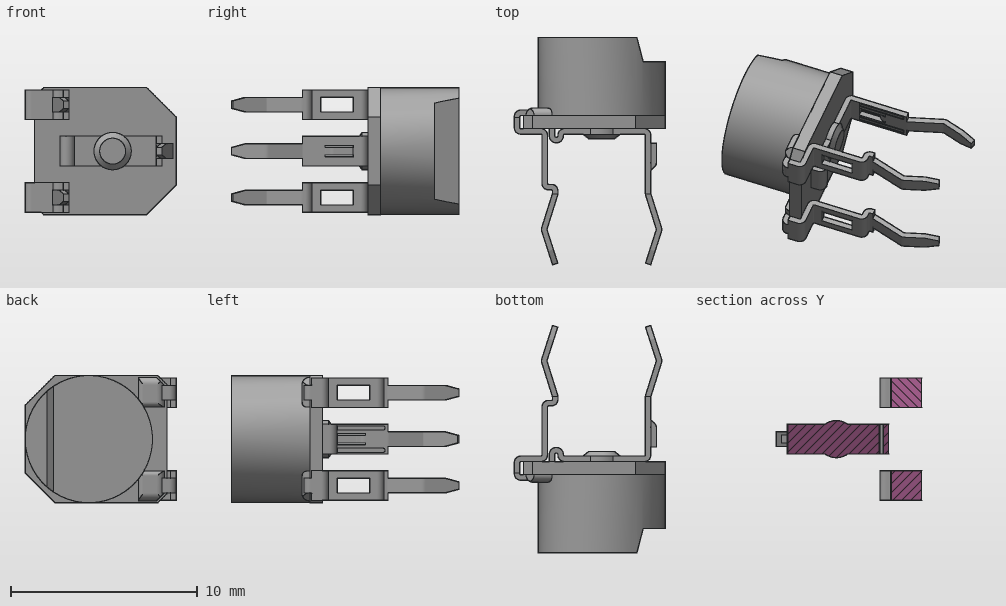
import cadquery as cq
import math

drum_diameter = 6.81
drum_height = 4.19
plate_thickness = 0.7
plate_left = 4.19
small_chamfer = 0.5
large_chamfer = 1.58

step_height = 3.58
step_top_x = 1.89
step_bottom_x = 2.23

sheet = 0.3
bend_radius = 0.05
strip_width = 1.6
pin_width = 0.79
pin_tip_width = 0.4
pin_taper_length = 0.75

pin_x = 2.49
kink_x = 3.08
shoulder_y = -3.5
kink_y = -5.4
pin_end_y = -7.25

side_terminal_z = 2.49
side_left_x = -4.68
side_leg_x = -3.05
jog_y = -3.13
tab_start_y = 0.6
window_top = -0.78
window_bottom = -2.51
window_width = 0.78

pad_left = -4.05
pad_right = -2.67
pad_height = 0.41
pad_outer_z = 0.82
pad_inner_z = -0.77
pad_chamfer = 0.43
pad_large_round = 0.39
pad_small_round = 0.24

hook_left_x = -2.66
hook_radius = 0.079
hook_bottom = -0.77
eyelet_radius = 1.0
eyelet_top_radius = 0.7
eyelet_head_height = 0.24
latch_slot_width = 0.59
latch_slot_bottom = -2.28
latch_width = 0.44
latch_straight_end = -1.88
rib_groove_z = 0.6
rib_groove_width = 0.23
rib_groove_bottom = -3.34
rib_groove_depth = 0.05

smallest_step = 0.0001
overlap = 0.06
drum_radius = drum_diameter / 2
plate_back = plate_thickness
drum_back = plate_back + drum_height


def box(x_range, y_range, z_range):
    """Axis-aligned block between the given limits."""
    (x0, x1), (y0, y1), (z0, z1) = x_range, y_range, z_range
    return cq.Workplane("XY").box(x1 - x0, y1 - y0, z1 - z0, centered=False).translate((x0, y0, z0))


def drum_cylinder():
    """Full round of the drum, standing on the back of the plate."""
    back_plane = cq.Workplane("XZ", origin=(0, plate_back, 0))
    return back_plane.circle(drum_radius).extrude(-drum_height)


def make_drum():
    """Drum with a sloped step cut across its +X side."""
    slope = (step_bottom_x - step_top_x) / (drum_back - step_height)
    step = (
        cq.Workplane("XY")
        .polyline([
            (step_bottom_x, step_height),
            (step_top_x - slope * overlap, drum_back + overlap),
            (drum_radius + overlap, drum_back + overlap),
            (drum_radius + overlap, step_height),
        ])
        .close()
        .extrude(drum_radius, both=True)
    )
    return drum_cylinder().cut(step)


def make_plate():
    """Base plate with small chamfers on the left and large ones on the right."""
    plate = box((-plate_left, drum_radius), (0, plate_back), (-drum_radius, drum_radius))
    plate = plate.edges("|Y and <X").chamfer(small_chamfer)
    return plate.edges("|Y and >X").chamfer(large_chamfer)


def bent_strip(path, radii, width):
    """Sheet strip of the given width along a centre path in XY, with an inside radius for each bend."""
    half = sheet / 2
    headings = []
    for (x0, y0), (x1, y1) in zip(path, path[1:]):
        length = math.hypot(x1 - x0, y1 - y0)
        headings.append(((x1 - x0) / length, (y1 - y0) / length))

    def beside(point, heading, offset):
        """Point moved to the left of the heading by the offset."""
        return (point[0] - heading[1] * offset, point[1] + heading[0] * offset)

    left = [(None, beside(path[0], headings[0], half))]
    right = [(None, beside(path[0], headings[0], -half))]
    for corner, before, after, radius in zip(path[1:], headings, headings[1:], radii):
        turn = math.copysign(1, before[0] * after[1] - before[1] * after[0])
        middle = (before[0] + after[0], before[1] + after[1])
        middle_length = math.hypot(*middle)
        middle = (middle[0] / middle_length, middle[1] / middle_length)
        cos_half_turn = middle_length / 2
        centre = beside(corner, middle, turn * (radius + half) / cos_half_turn)
        for side, steps in ((1, left), (-1, right)):
            arc_offset = -turn * (radius + half - side * turn * half)
            steps.append((None, beside(centre, before, arc_offset)))
            arc_middle = beside(centre, middle, arc_offset)
            steps.append((arc_middle, beside(centre, after, arc_offset)))
    left.append((None, beside(path[-1], headings[-1], half)))
    right.append((None, beside(path[-1], headings[-1], -half)))

    steps = left[1:] + [(None, right[-1][1])]
    for (arc_middle, _), (_, point) in zip(right[:0:-1], right[-2::-1]):
        steps.append((arc_middle, point))
    outline = cq.Workplane("XY").moveTo(*left[0][1])
    last = left[0][1]
    for arc_middle, point in steps:
        if math.dist(last, point) < smallest_step:
            continue
        if arc_middle:
            outline = outline.threePointArc(arc_middle, point)
        else:
            outline = outline.lineTo(*point)
        last = point
    return outline.close().extrude(width / 2, both=True)


def pin_path(side):
    """Centre path of the kinked pin; side is the sign of its X."""
    return [
        (side * pin_x, shoulder_y),
        (side * kink_x, kink_y),
        (side * pin_x, pin_end_y),
    ]


def taper_pin(terminal, side):
    """Narrow the end of the pin towards its tip, square to the pin's last straight."""
    _, kink, tip = pin_path(side)
    length = math.hypot(tip[0] - kink[0], tip[1] - kink[1])
    along = ((tip[0] - kink[0]) / length, (tip[1] - kink[1]) / length)
    plane = cq.Plane(origin=(*tip, 0), xDir=(*along, 0), normal=(-along[1], along[0], 0))
    slope = (pin_width - pin_tip_width) / 2 / pin_taper_length
    for edge in (1, -1):
        corner = (
            cq.Workplane(plane)
            .polyline([
                (-pin_taper_length, edge * pin_width / 2),
                (overlap, edge * (pin_tip_width / 2 - slope * overlap)),
                (overlap, edge * pin_width / 2),
            ])
            .close()
            .extrude(sheet, both=True)
        )
        terminal = terminal.cut(corner)
    return terminal


def narrow_strip(terminal, y_start, y_end):
    """Trim both edges of the strip to the pin width between two Y limits."""
    reach = plate_left + sheet * 2
    for z_limits in ((pin_width / 2, strip_width), (-strip_width, -pin_width / 2)):
        terminal = terminal.cut(box((-reach, reach), (y_start, y_end), z_limits))
    return terminal


def round_top_edges(block, large_side, small_side):
    """Round the back edge of one side with the large radius and that of the other with the small one."""
    large_rounded = block.faces(large_side).edges(">Y").fillet(pad_large_round)
    return large_rounded.faces(small_side).edges(">Y").fillet(pad_small_round)


def make_pad():
    """Rounded pad that ends the side terminal on the back of the plate, beside the drum."""
    pad = box(
        (pad_left, pad_right),
        (plate_back, plate_back + pad_height),
        (pad_inner_z, pad_outer_z),
    )
    along_x = round_top_edges(pad, "<X", ">X")
    along_z = round_top_edges(pad, ">Z", "<Z")
    pad = along_x.intersect(along_z)
    corner = (
        cq.Workplane("XZ", origin=(0, plate_back, 0))
        .polyline([
            (pad_left, pad_outer_z - pad_chamfer),
            (pad_left, pad_outer_z),
            (pad_left + pad_chamfer, pad_outer_z),
        ])
        .close()
        .extrude(-pad_height)
    )
    return pad.cut(corner).cut(drum_cylinder().translate((0, 0, -side_terminal_z)))


def make_side_terminal(mirrored):
    """Terminal clipped around the plate's left edge, at the +Z corner or mirrored to the -Z corner."""
    clip_x = side_left_x + sheet / 2
    tab_y = plate_back + sheet / 2
    path = [
        (pad_left + pad_large_round, tab_y),
        (clip_x, tab_y),
        (clip_x, -sheet / 2),
        (side_leg_x, -sheet / 2),
        (side_leg_x, jog_y),
        (-pin_x, jog_y),
        *pin_path(-1),
    ]
    bends = len(path) - 2
    terminal = bent_strip(path, [bend_radius] * bends, strip_width)
    terminal = narrow_strip(terminal, tab_start_y, drum_back)
    terminal = narrow_strip(terminal, 2 * kink_y, shoulder_y)
    terminal = taper_pin(terminal, -1)
    window = box(
        (side_leg_x - sheet, side_leg_x + sheet),
        (window_bottom, window_top),
        (-window_width / 2, window_width / 2),
    )
    terminal = terminal.cut(window).union(make_pad())
    terminal = terminal.translate((0, 0, side_terminal_z))
    return terminal.mirror("XY") if mirrored else terminal


def make_latch():
    """Tongue pressed out of the centre leg by one sheet thickness, joined at its lower end."""
    path = [
        (pin_x + sheet, window_top),
        (pin_x + sheet, latch_straight_end),
        (pin_x, latch_straight_end - sheet),
        (pin_x, latch_slot_bottom),
    ]
    return bent_strip(path, [bend_radius] * 2, latch_width)


def make_eyelet():
    """Round eyelet through the strip's thickness with a tapered head in front of it."""
    disc = cq.Workplane("XZ").circle(eyelet_radius).extrude(sheet)
    head = (
        cq.Workplane("XZ", origin=(0, -sheet, 0))
        .circle(eyelet_radius)
        .workplane(offset=eyelet_head_height)
        .circle(eyelet_top_radius)
        .loft()
    )
    return disc.union(head)


def rib_groove(z):
    """Round-ended groove in the inner face of the centre leg."""
    inner_x = pin_x - sheet / 2
    end_radius = rib_groove_width / 2
    depth_range = (inner_x - overlap, inner_x + rib_groove_depth)
    arc_y = rib_groove_bottom + end_radius
    straight = box(depth_range, (arc_y, window_top), (z - end_radius, z + end_radius))
    round_end = (
        cq.Workplane("YZ", origin=(depth_range[0], 0, 0))
        .center(arc_y, z)
        .circle(end_radius)
        .extrude(depth_range[1] - depth_range[0])
    )
    return straight.union(round_end)


def make_centre_terminal():
    """Centre terminal with a hook, an eyelet, a latch tongue and two grooves."""
    strip_y = -sheet / 2
    hook_low_y = hook_bottom + sheet / 2
    hook_right_x = hook_left_x + 2 * hook_radius + sheet
    path = [
        (hook_left_x, 0),
        (hook_left_x, hook_low_y),
        (hook_right_x, hook_low_y),
        (hook_right_x, strip_y),
        (pin_x, strip_y),
        *pin_path(1),
    ]
    radii = [hook_radius, hook_radius] + [bend_radius] * (len(path) - 4)
    terminal = bent_strip(path, radii, strip_width)
    terminal = narrow_strip(terminal, 2 * kink_y, shoulder_y)
    terminal = taper_pin(terminal, 1)
    latch_slot = box(
        (pin_x - sheet, pin_x + sheet),
        (latch_slot_bottom, window_top),
        (-latch_slot_width / 2, latch_slot_width / 2),
    )
    terminal = terminal.cut(latch_slot).union(make_latch()).union(make_eyelet())
    for z in (-rib_groove_z, rib_groove_z):
        terminal = terminal.cut(rib_groove(z))
    return terminal


drum = make_drum()
plate = make_plate()
centre_terminal = make_centre_terminal()

side_terminals = [make_side_terminal(mirrored).val() for mirrored in (False, True)]

result = cq.Compound.makeCompound([drum.val(), plate.val(), centre_terminal.val(), *side_terminals])